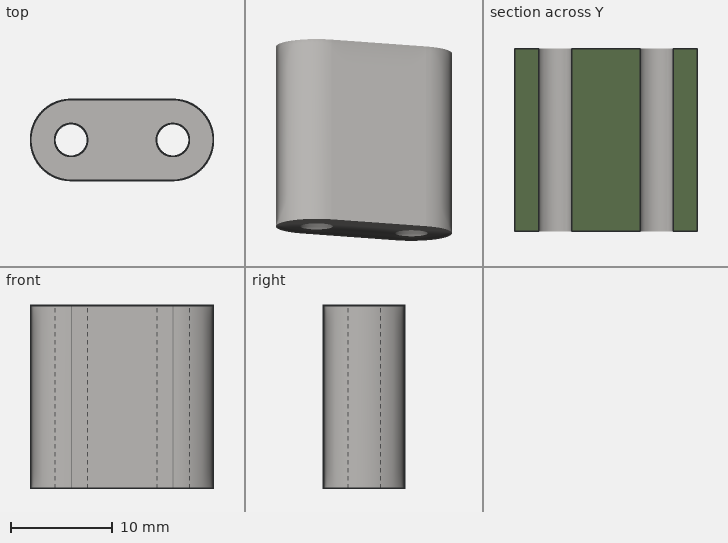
import cadquery as cq

length = 18.0
width = 8.0
height = 18.0
hole_diameter = 3.2

hole_spacing = length - width


def make_body():
    """Upright block with an obround outline."""
    return cq.Workplane("XY").slot2D(length, width).extrude(height)


def cut_through_holes(body):
    """Two vertical holes, one on the axis of each rounded end."""
    centers = [(-hole_spacing / 2, 0), (hole_spacing / 2, 0)]
    return body.faces(">Z").workplane().pushPoints(centers).hole(hole_diameter)


result = cut_through_holes(make_body())